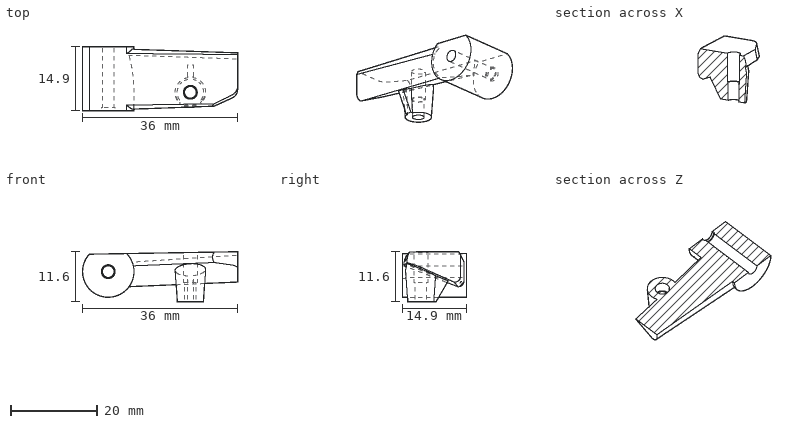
import cadquery as cq
import math

LENGTH = 36.0
WIDTH = 14.9
HEIGHT = 11.62

BARREL_RADIUS = 5.97
FLAT_HEIGHT = 4.05
FLAT_START = BARREL_RADIUS - math.sqrt(BARREL_RADIUS**2 - FLAT_HEIGHT**2)
TOP_AT_END = 4.65
TOP_SLOPE = (TOP_AT_END - FLAT_HEIGHT) / (LENGTH - FLAT_START)

HOLE_DIAMETER = 2.7
COUNTERBORE_DIAMETER = 3.2
BARREL_COUNTERBORE_DEPTH = 0.72
PIN_COUNTERBORE_DEPTH = 7.2

PIN_X = 25.0
PIN_Y = -3.15
PIN_BOTTOM = TOP_AT_END - HEIGHT
PIN_TIP_RADIUS = 3.05
PIN_ROOT_RADIUS = 3.55
PIN_TOP_RADIUS = 3.25
PIN_ROOT = 0.35
PIN_TOP = 1.98
GUSSET_WIDTH = 1.45
GUSSET_TIP_Y = 0.35
GUSSET_ROOT_Y = 3.25
GUSSET_ROOT_Z = -1.98

ARM_START = 7.2
ROOT_SECTION = dict(
    front_top=-6.2, front_side=-7.27, front_z=1.15, back_top=5.85, back_side=7.0, bottom=-3.67
)
TIP_SECTION = dict(
    front_top=-5.72, front_side=-6.2, front_z=2.35, back_top=5.58, back_side=6.0, bottom=-2.45
)
UNDERSIDE_RADIUS = 1.45
BULGE_SHARE = 0.8
CHAMFER_RISE = 2.0

CORNER_START_X = 30.23
CORNER_START_Y = -5.95
CORNER_ANGLE = 26.0
CORNER_LEAN = 12.0
CORNER_RADIUS = 2.35
TRIM_BOTTOM = -5.4
TRIM_TOP = 7.2


def top_height(x):
    """Height of the gently rising top face."""
    return FLAT_HEIGHT + TOP_SLOPE * (x - FLAT_START)


def make_barrel():
    barrel = (
        cq.Workplane("XZ")
        .center(BARREL_RADIUS, 0)
        .circle(BARREL_RADIUS)
        .extrude(WIDTH / 2, both=True)
    )
    below_top = (
        cq.Workplane("XZ")
        .moveTo(0, -BARREL_RADIUS)
        .lineTo(2 * BARREL_RADIUS, -BARREL_RADIUS)
        .lineTo(2 * BARREL_RADIUS, top_height(2 * BARREL_RADIUS))
        .lineTo(0, top_height(0))
        .close()
        .extrude(WIDTH, both=True)
    )
    return barrel.intersect(below_top)


def arm_section(x, front_top, front_side, front_z, back_top, back_side, bottom):
    """Closed section with a tilted underside, lowest along the back edge."""
    top = top_height(x)
    shoulder = top - CHAMFER_RISE * (back_side - back_top)
    bottom_y = back_side - UNDERSIDE_RADIUS
    bulge_y = front_top + BULGE_SHARE * (front_side - front_top)
    bulge_z = (top + front_z) / 2
    knee = UNDERSIDE_RADIUS * (1 - math.sqrt(0.5))
    return (
        cq.Workplane(cq.Plane((x, 0, 0), xDir=(0, 1, 0), normal=(1, 0, 0)))
        .moveTo(front_top, top)
        .threePointArc((bulge_y, bulge_z), (front_side, front_z))
        .lineTo(bottom_y, bottom)
        .threePointArc((back_side - knee, bottom + knee), (back_side, bottom + UNDERSIDE_RADIUS))
        .lineTo(back_side, shoulder)
        .lineTo(back_top, top)
        .close()
        .val()
    )


def make_corner_trim():
    """Block bounded by the end face and the leaning, rounded corner."""
    angle = math.radians(CORNER_ANGLE)

    def outline(z):
        lean = (TOP_AT_END - z) * math.tan(math.radians(CORNER_LEAN))
        start_y = CORNER_START_Y - lean / math.cos(angle)
        end_y = start_y + (LENGTH - CORNER_START_X) * math.tan(angle)
        near_y = start_y - CORNER_START_X * math.tan(angle)
        points = [(0, near_y), (LENGTH, end_y), (LENGTH, WIDTH), (0, WIDTH)]
        return cq.Wire.makePolygon([cq.Vector(x, y, z) for x, y in points], close=True)

    block = cq.Solid.makeLoft([outline(TRIM_BOTTOM), outline(TRIM_TOP)], True)
    corner = cq.Workplane(block).faces(">X").edges("<Y")
    return corner.fillet(CORNER_RADIUS)


def make_arm():
    root = arm_section(ARM_START, **ROOT_SECTION)
    tip = arm_section(LENGTH, **TIP_SECTION)
    arm = cq.Workplane(cq.Solid.makeLoft([root, tip], True))
    return arm.intersect(make_corner_trim())


def make_pin():
    outline = [
        (0, PIN_BOTTOM),
        (PIN_TIP_RADIUS, PIN_BOTTOM),
        (PIN_ROOT_RADIUS, PIN_ROOT),
        (PIN_TOP_RADIUS, PIN_TOP),
        (0, PIN_TOP),
    ]
    pin = cq.Workplane("XZ").polyline(outline).close().revolve(360, (0, 0), (0, 1))
    return pin.translate((PIN_X, PIN_Y, 0))


def make_gusset():
    outline = [
        (PIN_Y, PIN_BOTTOM),
        (GUSSET_TIP_Y, PIN_BOTTOM),
        (GUSSET_ROOT_Y, GUSSET_ROOT_Z),
        (GUSSET_ROOT_Y, PIN_ROOT),
        (PIN_Y, PIN_ROOT),
    ]
    gusset = cq.Workplane("YZ").polyline(outline).close()
    return gusset.extrude(GUSSET_WIDTH / 2, both=True).translate((PIN_X, 0, 0))


def stepped_hole(plane, counterbore_depth):
    """Through hole with a wider bore from the plane down to counterbore_depth."""
    bore = cq.Workplane(plane).circle(HOLE_DIAMETER / 2).extrude(-2 * WIDTH)
    counterbore = cq.Workplane(plane).circle(COUNTERBORE_DIAMETER / 2).extrude(-counterbore_depth)
    return bore.union(counterbore)


barrel_hole = stepped_hole(
    cq.Plane((BARREL_RADIUS, -WIDTH / 2, 0), xDir=(1, 0, 0), normal=(0, -1, 0)),
    BARREL_COUNTERBORE_DEPTH,
)
pin_hole = stepped_hole(
    cq.Plane((PIN_X, PIN_Y, TOP_AT_END), xDir=(1, 0, 0), normal=(0, 0, 1)),
    PIN_COUNTERBORE_DEPTH,
)

pin_body = make_pin().union(make_gusset())
body = make_barrel().union(make_arm()).union(pin_body)
result = body.cut(barrel_hole).cut(pin_hole)